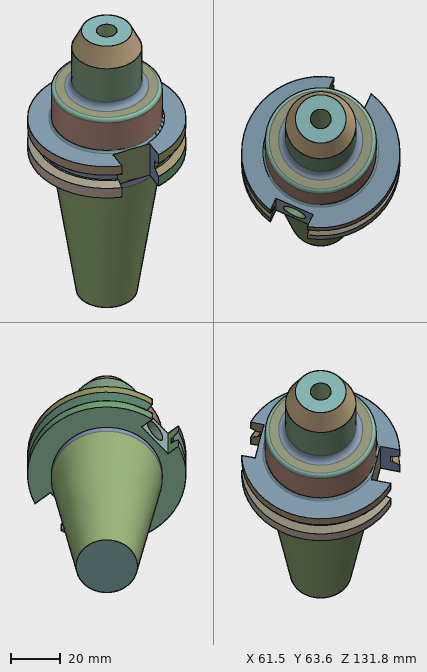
import cadquery as cq

total_height = 131.8
taper_height = 68.2
flange_bottom = 71.3
flange_top = 87.2
collar_top = 103.7
nose_cone_start = 123.3

taper_ratio = 7 / 24
flange_radius = 31.8
collar_radius = 22.3
taper_end_radius = collar_radius - taper_height * taper_ratio / 2
nose_radius = 14.1
nose_tip_radius = 10.1

groove_radius = 28.0
groove_ledge_width = 0.8
groove_flank_radius = groove_radius + groove_ledge_width
groove_floor_bottom = 77.9
groove_floor_top = 81.2
groove_flank_height = 1.7

nose_fillet = 2.8
collar_edge_fillet = 1.6
flange_fillet = 0.9

slot_width = 16.3
left_slot_floor = 25.2
right_slot_floor = 22.7

left_hole_diameter = 9.7
left_hole_depth = 5.4
nose_bore_diameter = 8.2
nose_bore_depth = 30.3


def turned_body():
    """Revolve the half profile, fillets included, about the Z axis."""
    profile = (
        cq.Workplane("XZ")
        .moveTo(0, 0)
        .lineTo(taper_end_radius, 0)
        .lineTo(collar_radius, taper_height)
        .lineTo(collar_radius, flange_bottom)
        .lineTo(flange_radius, flange_bottom)
        .lineTo(flange_radius, groove_floor_bottom - groove_flank_height)
        .lineTo(groove_flank_radius, groove_floor_bottom)
        .lineTo(groove_radius, groove_floor_bottom)
        .lineTo(groove_radius, groove_floor_top)
        .lineTo(groove_flank_radius, groove_floor_top)
        .lineTo(flange_radius, groove_floor_top + groove_flank_height)
        .lineTo(flange_radius, flange_top)
        .lineTo(collar_radius + flange_fillet, flange_top)
        .radiusArc((collar_radius, flange_top + flange_fillet), flange_fillet)
        .lineTo(collar_radius, collar_top - collar_edge_fillet)
        .radiusArc((collar_radius - collar_edge_fillet, collar_top), -collar_edge_fillet)
        .lineTo(nose_radius + nose_fillet, collar_top)
        .radiusArc((nose_radius, collar_top + nose_fillet), nose_fillet)
        .lineTo(nose_radius, nose_cone_start)
        .lineTo(nose_tip_radius, total_height)
        .lineTo(0, total_height)
        .close()
    )
    return profile.revolve(360, (0, 0, 0), (0, 1, 0))


def drive_slot(side, floor_distance):
    """Slot cutter through the flange; side is -1 for -X and +1 for +X."""
    depth = flange_radius - floor_distance
    return (
        cq.Workplane("XY", origin=(side * (floor_distance + depth / 2), 0, flange_bottom))
        .rect(depth, slot_width)
        .extrude(flange_top + flange_fillet - flange_bottom)
    )


def left_slot_hole():
    """Radial hole in the floor of the -X slot, halfway up the flange."""
    mid_flange = (flange_bottom + flange_top) / 2
    return (
        cq.Workplane("YZ", origin=(-left_slot_floor, 0, mid_flange))
        .circle(left_hole_diameter / 2)
        .extrude(left_hole_depth)
    )


def nose_bore():
    """Axial bore from the tip of the nose."""
    return (
        cq.Workplane("XY", origin=(0, 0, total_height))
        .circle(nose_bore_diameter / 2)
        .extrude(-nose_bore_depth)
    )


result = (
    turned_body()
    .cut(drive_slot(-1, left_slot_floor))
    .cut(drive_slot(1, right_slot_floor))
    .cut(left_slot_hole())
    .cut(nose_bore())
)